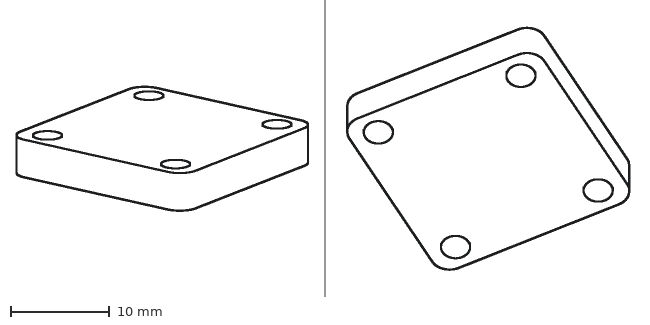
import cadquery as cq

side = 22.23
thickness = 4.0
corner_radius = 2.0

hole_diameter = 2.95
hole_spacing_x = 16.25
hole_spacing_y = 17.03

plate = cq.Workplane("XY").box(side, side, thickness).edges("|Z").fillet(corner_radius)

result = (
    plate.faces(">Z")
    .workplane()
    .rect(hole_spacing_x, hole_spacing_y, forConstruction=True)
    .vertices()
    .hole(hole_diameter)
)